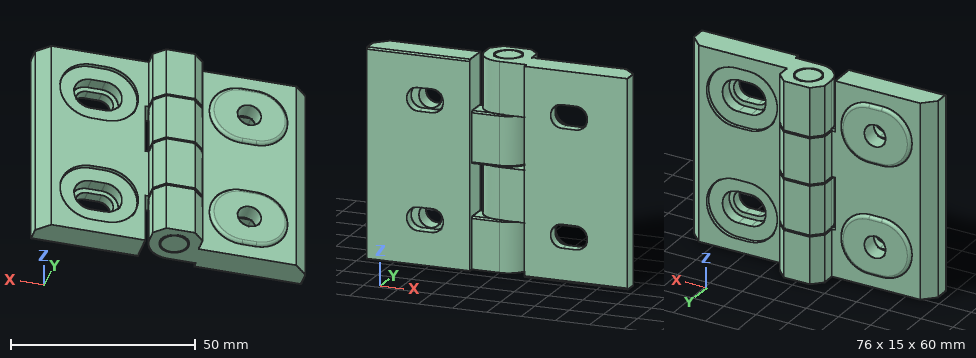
import cadquery as cq
import math


WIDTH = 76.0
DEPTH = 15.0
HEIGHT = 60.0
TOP = HEIGHT / 2

LEAF_THICKNESS = 8.05
LEAF_INNER_X = 8.0
OUTER_BEVEL = 3.6
END_CHAMFER = 0.5

KNUCKLE_COUNT = 4
KNUCKLE_LENGTH = HEIGHT / KNUCKLE_COUNT
KNUCKLE_RADIUS = 7.0
KNUCKLE_BEVEL = 3.0
ARM_SETBACK = 1.5

LEAF_FRONT_Y = -KNUCKLE_RADIUS - ARM_SETBACK
LEAF_BACK_Y = LEAF_FRONT_Y + LEAF_THICKNESS
KNUCKLE_BACK_Y = LEAF_FRONT_Y + DEPTH

PIN_RADIUS = 4.0
PIN_CHAMFER = 0.3

STRAIGHT = 3.95
SLOT_WIDTH = 6.7
SLOT_DEPTH = 3.2
POCKET_WIDTH = 9.5
RECESS_DEPTH = 1.15
SLOT_X = WIDTH / 2 - 17.0
SLOT_Z = TOP - 13.0
POCKET_FLOOR_Y = LEAF_FRONT_Y + SLOT_DEPTH
RECESS_FLOOR_Y = LEAF_BACK_Y - RECESS_DEPTH

FLANGE_WIDTH = 18.0
FLANGE_RISE = 1.0
WASHER_HOLE = 6.6
NECK_CLEARANCE = 0.7

LEFT, RIGHT = -1, 1


def stadium(x, z, width, y_start, y_end):
    """Round-ended bar along Y, lying lengthwise in X."""
    return (
        cq.Workplane("XZ", origin=(x, y_start, z))
        .slot2D(STRAIGHT + width, width)
        .extrude(y_start - y_end)
    )


def leaf_plate(side):
    """Plate with a beveled outer edge; the front edge of its end away from the end knuckle is chamfered."""
    outer_x = WIDTH / 2
    outline = [
        (LEAF_INNER_X, LEAF_FRONT_Y),
        (outer_x, LEAF_FRONT_Y),
        (outer_x, LEAF_BACK_Y - OUTER_BEVEL),
        (outer_x - OUTER_BEVEL, LEAF_BACK_Y),
        (LEAF_INNER_X, LEAF_BACK_Y),
    ]
    plate = (
        cq.Workplane("XY", origin=(0, 0, -TOP))
        .polyline([(side * x, y) for x, y in outline])
        .close()
        .extrude(HEIGHT)
    )
    free_end = "<Z" if side == RIGHT else ">Z"
    return plate.faces(free_end).edges("<Y").chamfer(END_CHAMFER)


def knuckle(side, index):
    """One knuckle with its arm; index 0 is the topmost."""
    root_x = LEAF_INNER_X + END_CHAMFER
    arc_x = -KNUCKLE_RADIUS * math.sqrt(0.5)
    shoulder_y = KNUCKLE_BACK_Y - KNUCKLE_BEVEL
    crown_x = KNUCKLE_RADIUS - KNUCKLE_BEVEL
    bottom = TOP - (index + 1) * KNUCKLE_LENGTH
    return (
        cq.Workplane("XY", origin=(0, 0, bottom))
        .moveTo(side * root_x, -KNUCKLE_RADIUS)
        .lineTo(0, -KNUCKLE_RADIUS)
        .threePointArc((side * arc_x, arc_x), (-side * KNUCKLE_RADIUS, 0))
        .lineTo(-side * KNUCKLE_RADIUS, shoulder_y)
        .lineTo(-side * crown_x, KNUCKLE_BACK_Y)
        .lineTo(side * crown_x, KNUCKLE_BACK_Y)
        .lineTo(side * KNUCKLE_RADIUS, shoulder_y)
        .lineTo(side * KNUCKLE_RADIUS, LEAF_BACK_Y)
        .lineTo(side * root_x, LEAF_BACK_Y)
        .close()
        .extrude(KNUCKLE_LENGTH)
    )


def finish_leaf(leaf, side):
    """Bore the pin hole and cut the two mounting slots, which widen in two steps toward the back."""
    leaf = leaf.cut(cq.Workplane("XY", origin=(0, 0, -TOP)).circle(PIN_RADIUS).extrude(HEIGHT))
    for z in (SLOT_Z, -SLOT_Z):
        leaf = leaf.cut(stadium(side * SLOT_X, z, SLOT_WIDTH, LEAF_FRONT_Y, POCKET_FLOOR_Y))
        leaf = leaf.cut(stadium(side * SLOT_X, z, POCKET_WIDTH, POCKET_FLOOR_Y, RECESS_FLOOR_Y))
        leaf = leaf.cut(stadium(side * SLOT_X, z, FLANGE_WIDTH, RECESS_FLOOR_Y, LEAF_BACK_Y))
    return leaf


def make_left_leaf():
    """Leaf with the second and fourth knuckles, chamfered where they meet the other leaf's knuckles."""
    middle_knuckle = knuckle(LEFT, 1).faces("<Z or >Z").chamfer(END_CHAMFER)
    end_knuckle = knuckle(LEFT, 3).faces(">Z").chamfer(END_CHAMFER)
    return finish_leaf(leaf_plate(LEFT).union(middle_knuckle).union(end_knuckle), LEFT)


def make_right_leaf():
    """Leaf with the first and third knuckles, square at their ends."""
    return finish_leaf(leaf_plate(RIGHT).union(knuckle(RIGHT, 0)).union(knuckle(RIGHT, 2)), RIGHT)


def make_pin():
    """Plain pin, flush with both ends of the hinge."""
    pin = cq.Workplane("XY", origin=(0, 0, -TOP)).circle(PIN_RADIUS).extrude(HEIGHT)
    return pin.faces("<Z or >Z").chamfer(PIN_CHAMFER)


def make_washer(z):
    """Washer with a rounded flange seated in the back of the left leaf and a neck in the pocket."""
    x = -SLOT_X
    neck_front_y = POCKET_FLOOR_Y + NECK_CLEARANCE
    flange_back_y = LEAF_BACK_Y + FLANGE_RISE
    flange = stadium(x, z, FLANGE_WIDTH, RECESS_FLOOR_Y, flange_back_y).faces(">Y").edges().fillet(FLANGE_RISE)
    neck = stadium(x, z, POCKET_WIDTH, neck_front_y, RECESS_FLOOR_Y)
    hole = (
        cq.Workplane("XZ", origin=(x, neck_front_y, z))
        .circle(WASHER_HOLE / 2)
        .extrude(neck_front_y - flange_back_y)
    )
    return flange.union(neck).cut(hole)


left_leaf = make_left_leaf()
right_leaf = make_right_leaf()
pin = make_pin()
washers = [make_washer(z) for z in (SLOT_Z, -SLOT_Z)]

result = cq.Compound.makeCompound(
    [left_leaf.val(), right_leaf.val(), pin.val(), *[washer.val() for washer in washers]]
)